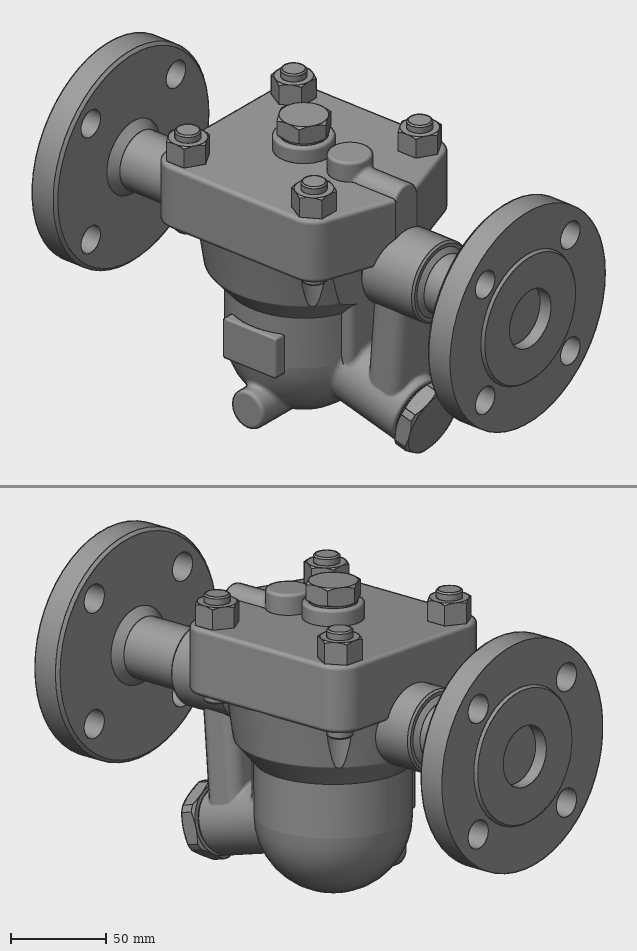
import cadquery as cq
import math


face_to_face = 290.0
line_mid_x = 10.2
flange_dia = 127.0
flange_thick = 18.0
flange_chamfer = 1.7
raised_face_height = 1.7
raised_face_root_dia = 76.5
raised_face_dia = 74.2
bolt_hole_dia = 16.0
bolt_hole_offset = 34.8
pipe_dia = 34.0
port_dia = 34.0
port_depth = 7.5
hub_dia = 43.2
hub_length = 5.0
socket_dia = 46.0
socket_reach = 84.0
socket_chamfer = 1.2
weld_length = 2.3
weld_dia = 40.0
outlet_start_x = 57.0
outlet_end_chamfer = 2.0
outlet_root_fillet = 3.5

plate_half = 57.5
stud_offset = 43.2
plate_corner_radius = plate_half - stud_offset
plate_slope_start_x = 53.5
plate_nose_x = 70.2
plate_nose_half = 8.7
plate_top_z = 44.7
plate_bottom_z = 7.5
plate_edge_fillet = 2.3

neck_top_radius = 56.8
neck_bottom_radius = 52.5
neck_bottom_fillet = 1.7
neck_bottom_z = -19.0
barrel_radius = 41.8
barrel_top_z = -32.0
dome_center_z = -62.0
stud_clearance_radius = 8.7
vessel_flat_x = 45.8
rib_half_width = 15.5
rib_corner_fillet = 4.0

pad_width = 36.5
pad_top_z = -42.3
pad_height = 24.0
pad_face_y = -44.7
pad_corner_fillet = 1.7
pad_face_fillet = 1.2

drain_dia = 22.0
drain_z = -90.8
drain_face_y = -46.5
drain_edge_fillet = 2.0
drain_root_fillet = 2.3

strainer_tilt = 15.0
strainer_dia = 38.0
strainer_end = 80.5
strainer_edge_fillet = 1.5
strainer_root_fillet = 3.5
cap_collar_dia = 34.0
cap_start = 82.5
cap_end = 91.5
cap_flats = 38.3
cap_turned_dia = 42.0
cap_chamfer_dia = 38.3

post_tilt = 4.5
post_width = 23.0
post_depth = 31.3
post_corner_fillet = 7.0
post_root_fillet = 1.7
post_base_x = 65.2
post_base_z = -72.5

stud_dia = 14.0
stud_top_z = 61.2
stud_bottom_z = 1.7
stud_chamfer = 1.0
nut_flats = 21.0
nut_height = 12.2

cover_boss_dia = 24.0
cover_boss_x = 31.5
cover_boss_top_z = 56.0
cover_boss_fillet = 1.7
channel_radius = 9.3
channel_top_z = 50.0
channel_end_fillet = 1.5
channel_root_fillet = 2.3

plug_collar_dia = 33.0
plug_collar_bottom_z = 47.0
plug_collar_height = 9.0
plug_collar_fillet = 1.7
plug_neck_dia = 26.0
plug_neck_height = 1.0
plug_hex_flats = 26.0
plug_hex_height = 10.5

HEX_CORNER_RATIO = 2 / math.sqrt(3)
TOUCH_GAP = 0.003
CHAMFER_SLOPE = math.tan(math.radians(30))


def hex_head(flats, turned_dia, height, circle_dia, both_ends=False):
    """Hexagon on z=0, corners along X and cut to turned_dia, ends chamfered to circle_dia."""
    prism = cq.Workplane("XY").polygon(6, flats * HEX_CORNER_RATIO).extrude(height)
    corner = turned_dia / 2
    circle = circle_dia / 2
    drop = (corner - circle) * CHAMFER_SLOPE
    lower_end = [(circle, 0), (corner, drop)] if both_ends else [(corner, 0)]
    outline = [(0, 0), *lower_end, (corner, height - drop), (circle, height), (0, height)]
    turned = cq.Workplane("XZ").polyline(outline).close().revolve(360, (0, 0), (0, 1))
    return prism.intersect(turned)


def blend(base, feature, radius, part_of_seam=None):
    """Join two shapes and round the seam where they meet, or the selected part of it."""
    joined = base.union(feature)
    seam = joined.edges().filter(lambda edge: lies_on(edge, base) and lies_on(edge, feature))
    return seam.edges(part_of_seam).fillet(radius) if part_of_seam else seam.fillet(radius)


def lies_on(edge, shape):
    """True when the middle of the edge lies on a face of the shape."""
    middle = cq.Vertex.makeVertex(*edge.positionAt(0.5).toTuple())
    return min(face.distance(middle) for face in shape.faces().vals()) < TOUCH_GAP


def pipe_end(inner_reach):
    """One flanged pipe end along +X; inner_reach is where its socket starts."""
    face = face_to_face / 2
    root = face - raised_face_height
    back = face - flange_thick
    outline = [
        (inner_reach, 0),
        (inner_reach, socket_dia / 2),
        (socket_reach - socket_chamfer, socket_dia / 2),
        (socket_reach, socket_dia / 2 - socket_chamfer),
        (socket_reach, weld_dia / 2),
        (socket_reach + weld_length, pipe_dia / 2),
        (back - hub_length, pipe_dia / 2),
        (back, hub_dia / 2),
        (back, flange_dia / 2 - flange_chamfer),
        (back + flange_chamfer, flange_dia / 2),
        (root, flange_dia / 2),
        (root, raised_face_root_dia / 2),
        (face, raised_face_dia / 2),
        (face, 0),
    ]
    end = cq.Workplane("XY").polyline(outline).close().revolve(360, (0, 0), (1, 0))
    holes = (
        cq.Workplane("YZ", origin=(back, 0, 0))
        .rect(2 * bolt_hole_offset, 2 * bolt_hole_offset, forConstruction=True)
        .vertices()
        .circle(bolt_hole_dia / 2)
        .extrude(flange_thick)
    )
    port = cq.Workplane("YZ", origin=(face - port_depth, 0, 0)).circle(port_dia / 2).extrude(port_depth)
    return end.cut(holes).cut(port)


def make_inlet():
    return pipe_end(line_mid_x).mirror("YZ").translate((line_mid_x, 0, 0))


def make_outlet():
    end = pipe_end(outlet_start_x - line_mid_x).translate((line_mid_x, 0, 0))
    return end.faces("<X").chamfer(outlet_end_chamfer)


def make_plate():
    """Body flange and cover as one plate, square with a nose toward the outlet."""
    outline = [
        (-plate_half, -plate_half),
        (plate_slope_start_x, -plate_half),
        (plate_nose_x, -plate_nose_half),
        (plate_nose_x, plate_nose_half),
        (plate_slope_start_x, plate_half),
        (-plate_half, plate_half),
    ]
    plate = (
        cq.Workplane("XY", origin=(0, 0, plate_bottom_z))
        .polyline(outline)
        .close()
        .extrude(plate_top_z - plate_bottom_z)
    )
    corners = plate.edges("|Z").edges("<X or >Y or <Y")
    return corners.fillet(plate_corner_radius).faces("<Z or >Z").edges().fillet(plate_edge_fillet)


def make_vessel():
    """Conical neck, barrel and dome with a flat on the outlet side, and the rib flush with it."""
    middle = barrel_radius * math.sqrt(0.5)
    neck_slope = (neck_top_radius - neck_bottom_radius) / (plate_bottom_z - neck_bottom_z)
    hidden_top_z = plate_bottom_z + plate_edge_fillet
    hidden_top_radius = neck_top_radius + neck_slope * plate_edge_fillet
    turned = (
        cq.Workplane("XZ")
        .moveTo(0, hidden_top_z)
        .lineTo(hidden_top_radius, hidden_top_z)
        .lineTo(neck_bottom_radius, neck_bottom_z)
        .lineTo(barrel_radius, barrel_top_z)
        .lineTo(barrel_radius, dome_center_z)
        .threePointArc((middle, dome_center_z - middle), (0, dome_center_z - barrel_radius))
        .close()
        .revolve(360, (0, 0), (0, 1))
        .edges(cq.selectors.RadiusNthSelector(-2))
        .fillet(neck_bottom_fillet)
    )
    clearance = (
        cq.Workplane("XY", origin=(0, 0, neck_bottom_z))
        .pushPoints(stud_places())
        .circle(stud_clearance_radius)
        .extrude(plate_bottom_z - neck_bottom_z)
    )
    height = hidden_top_z - dome_center_z
    beyond_flat = (
        cq.Workplane("YZ", origin=(vessel_flat_x, 0, 0))
        .rect(2 * plate_half, 2 * height)
        .extrude(plate_half - vessel_flat_x)
    )
    rib = (
        cq.Workplane("XY", origin=(vessel_flat_x / 2, 0, dome_center_z))
        .rect(vessel_flat_x, 2 * rib_half_width)
        .extrude(height)
        .edges("|Z and >X")
        .fillet(rib_corner_fillet)
    )
    return turned.cut(clearance).cut(beyond_flat), rib


def stud_places():
    return [(x, y) for x in (-stud_offset, stud_offset) for y in (-stud_offset, stud_offset)]


def along_strainer(shape):
    """Turn a shape built up +Z from the origin onto the strainer axis."""
    turned = shape.rotate((0, 0, 0), (0, 1, 0), 90 + strainer_tilt)
    return turned.translate((0, 0, dome_center_z))


def make_strainer():
    branch = cq.Workplane("XY").circle(strainer_dia / 2).extrude(strainer_end)
    return along_strainer(branch.faces(">Z").edges().fillet(strainer_edge_fillet))


def make_strainer_cap():
    collar = cq.Workplane("XY").circle(cap_collar_dia / 2).extrude(cap_start)
    head = hex_head(cap_flats, cap_turned_dia, cap_end - cap_start, cap_chamfer_dia, True)
    return along_strainer(collar.union(head.translate((0, 0, cap_start))))


def make_post():
    post = cq.Workplane("XY").rect(post_width, post_depth).extrude(-post_base_z)
    post = post.edges("|Z").fillet(post_corner_fillet)
    return post.rotate((0, 0, 0), (0, 1, 0), post_tilt).translate((post_base_x, 0, post_base_z))


def make_drain():
    boss = cq.Workplane("XZ", origin=(0, 0, drain_z)).circle(drain_dia / 2).extrude(-drain_face_y)
    return boss.faces("<Y").edges().fillet(drain_edge_fillet)


def make_pad():
    pad = cq.Workplane("XY").box(pad_width, -pad_face_y, pad_height, centered=(True, False, False))
    pad = pad.translate((0, pad_face_y, pad_top_z - pad_height))
    return pad.edges("|Y").fillet(pad_corner_fillet).faces("<Y").edges().fillet(pad_face_fillet)


def make_stud(x, y):
    """Stud with its nut; the nuts alternate in orientation around the cover."""
    stud = cq.Workplane("XY", origin=(0, 0, stud_bottom_z)).circle(stud_dia / 2)
    stud = stud.extrude(stud_top_z - stud_bottom_z).faces("<Z or >Z").chamfer(stud_chamfer)
    nut = hex_head(nut_flats, nut_flats * HEX_CORNER_RATIO, nut_height, nut_flats)
    turn = 0 if x * y > 0 else 90
    nut = nut.rotate((0, 0, 0), (0, 0, 1), turn).translate((0, 0, plate_top_z))
    return stud.union(nut).translate((x, y, 0))


def make_cover_boss():
    boss = cq.Workplane("XY", origin=(cover_boss_x, 0, plate_bottom_z)).circle(cover_boss_dia / 2)
    boss = boss.extrude(cover_boss_top_z - plate_bottom_z).faces(">Z").edges().fillet(cover_boss_fillet)
    channel = (
        cq.Workplane("YZ", origin=(cover_boss_x, 0, channel_top_z - channel_radius))
        .circle(channel_radius)
        .extrude(plate_nose_x - cover_boss_x)
        .faces(">X")
        .edges()
        .fillet(channel_end_fillet)
    )
    return blend(boss, channel, channel_root_fillet)


def make_housing():
    vessel, rib = make_vessel()
    vessel = blend(vessel, make_drain(), drain_root_fillet)
    vessel = blend(vessel.union(rib), make_strainer(), strainer_root_fillet)
    vessel = blend(vessel, make_post(), post_root_fillet)
    plate = blend(make_plate(), make_outlet(), outlet_root_fillet, "<X")
    housing = plate.union(vessel)
    for feature in (make_inlet(), make_strainer_cap(), make_pad(), make_cover_boss()):
        housing = housing.union(feature)
    for x, y in stud_places():
        housing = housing.union(make_stud(x, y))
    return housing


def make_plug():
    """Hexagon plug standing just clear of the cover."""
    collar = cq.Workplane("XY").circle(plug_collar_dia / 2).extrude(plug_collar_height)
    collar = collar.faces(">Z").edges().fillet(plug_collar_fillet)
    head_base = plug_collar_height + plug_neck_height
    neck = cq.Workplane("XY").circle(plug_neck_dia / 2).extrude(head_base)
    plug_corner_dia = plug_hex_flats * HEX_CORNER_RATIO
    head = hex_head(plug_hex_flats, plug_corner_dia, plug_hex_height, plug_hex_flats, True)
    plug = collar.union(neck).union(head.translate((0, 0, head_base)))
    return plug.translate((0, 0, plug_collar_bottom_z))


housing = make_housing()
plug = make_plug()

result = cq.Compound.makeCompound([*housing.solids().vals(), plug.val()])